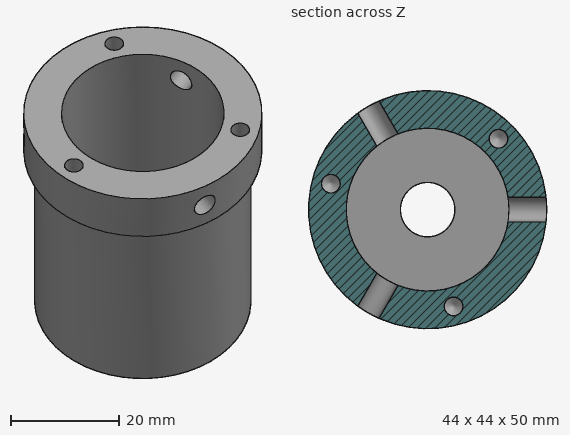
import cadquery as cq
import math

total_height = 50
body_diameter = 40
flange_diameter = 44
flange_height = 10

bore_diameter = 30
floor_thickness = (body_diameter - bore_diameter) / 2
floor_hole_diameter = 10

hole_count = 3
radial_hole_diameter = 4.5
radial_hole_start_angle = 0

top_hole_diameter = 3.4
top_hole_depth = 7.5
drill_point_angle = 118
top_hole_circle_radius = (flange_diameter + bore_diameter) / 4
top_hole_start_angle = 45


def evenly_spaced_angles(start_angle):
    return [start_angle + i * 360 / hole_count for i in range(hole_count)]


def make_sleeve():
    body = cq.Workplane("XY").circle(body_diameter / 2).extrude(total_height)
    flange = (
        cq.Workplane("XY", origin=(0, 0, total_height - flange_height))
        .circle(flange_diameter / 2)
        .extrude(flange_height)
    )
    bore = (
        cq.Workplane("XY", origin=(0, 0, floor_thickness))
        .circle(bore_diameter / 2)
        .extrude(total_height - floor_thickness)
    )
    floor_hole = cq.Workplane("XY").circle(floor_hole_diameter / 2).extrude(floor_thickness)
    return body.union(flange).cut(bore).cut(floor_hole)


def radial_hole(angle):
    """Cylinder running from the part's axis out to the flange rim."""
    hole_height = total_height - flange_height / 2
    return (
        cq.Workplane("YZ", origin=(0, 0, hole_height))
        .circle(radial_hole_diameter / 2)
        .extrude(flange_diameter / 2)
        .rotate((0, 0, 0), (0, 0, 1), angle)
    )


def top_hole(angle):
    """Blind hole with a conical drill point, open at the top face."""
    radius = top_hole_diameter / 2
    point_depth = radius / math.tan(math.radians(drill_point_angle / 2))
    shoulder = total_height - top_hole_depth
    return (
        cq.Workplane("XZ")
        .moveTo(0, total_height)
        .lineTo(radius, total_height)
        .lineTo(radius, shoulder)
        .lineTo(0, shoulder - point_depth)
        .close()
        .revolve(360, (0, 0), (0, 1))
        .translate((top_hole_circle_radius, 0, 0))
        .rotate((0, 0, 0), (0, 0, 1), angle)
    )


result = make_sleeve()
for angle in evenly_spaced_angles(radial_hole_start_angle):
    result = result.cut(radial_hole(angle))
for angle in evenly_spaced_angles(top_hole_start_angle):
    result = result.cut(top_hole(angle))